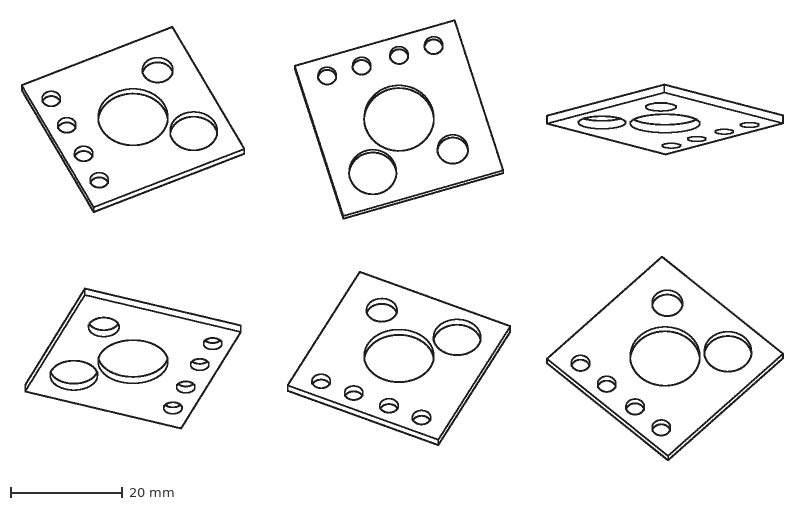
import cadquery as cq

plate_side = 30.0
plate_thickness = 1.5

center_hole_diameter = 12.5

upper_hole_x = plate_side / 4
upper_hole_y = 8.5
upper_left_diameter = 5.5
upper_right_diameter = 8.5

row_hole_diameter = 3.3
row_y = -11.5
row_inner_x = 3.5
row_outer_x = 10.0


def drill(plate, diameter, centers):
    """Cut through holes of one diameter at the given plate positions."""
    return plate.pushPoints(centers).circle(diameter / 2).cutThruAll()


row_centers = [(x, row_y) for x in (-row_outer_x, -row_inner_x, row_inner_x, row_outer_x)]

result = cq.Workplane("XY").box(plate_side, plate_side, plate_thickness)
result = drill(result, center_hole_diameter, [(0, 0)])
result = drill(result, upper_left_diameter, [(-upper_hole_x, upper_hole_y)])
result = drill(result, upper_right_diameter, [(upper_hole_x, upper_hole_y)])
result = drill(result, row_hole_diameter, row_centers)